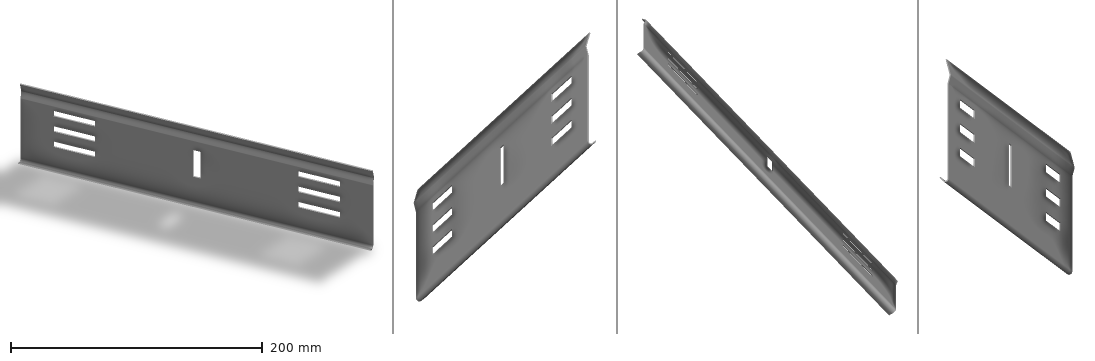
import cadquery as cq
import math

length = 293.0
depth = 9.7
height = 101.0
thickness = 1.0

ridge_height = 88.0
kink_height = 80.5
fold_radius = 1.0
lean = math.radians(15)

bend_radius = 2.5
lip_angle = math.radians(45)

slot_length = 34.5
slot_width = 7.0
slot_pitch = 20.0
slot_center_z = 51.5
slot_offset_x = 101.7
center_slot_width = 6.2
slot_count = 3

outer_fold_radius = fold_radius + thickness

ridge_y = depth + outer_fold_radius * (1 / math.cos(lean) - 1)

wall_back = ridge_y - (ridge_height - kink_height) * math.tan(lean)
top_back = ridge_y - (height - ridge_height) * math.tan(lean)
bend_center = (wall_back - bend_radius, bend_radius)
inner_radius = bend_radius - thickness

ridge_back = (ridge_y, ridge_height)
ridge_front = (ridge_y - thickness / math.cos(lean), ridge_height)
kink_back = (wall_back, kink_height)
kink_front = (
    wall_back - thickness,
    kink_height + thickness * math.tan(lean / 2),
)


def bend_point(radius, angle):
    """Point (Y, Z) on the lower bend, angle measured from +Y toward +Z."""
    return (
        bend_center[0] + radius * math.cos(angle),
        bend_center[1] + radius * math.sin(angle),
    )


def make_sheet():
    """Bent cross-section extruded over the full length, centred on X."""
    bend_end = -math.pi / 2 - lip_angle
    bend_middle = bend_end / 2
    lip_start = bend_point(bend_radius, bend_end)
    lip_tip = (0, lip_start[1] + lip_start[0] * math.tan(lip_angle))
    lip_tip_inner = (
        lip_tip[0] + thickness * math.sin(lip_angle),
        lip_tip[1] + thickness * math.cos(lip_angle),
    )
    top_front = (
        top_back - thickness * math.cos(lean),
        height - thickness * math.sin(lean),
    )
    return (
        cq.Workplane("YZ", origin=(-length / 2, 0, 0))
        .moveTo(*lip_tip)
        .lineTo(*lip_start)
        .threePointArc(bend_point(bend_radius, bend_middle), bend_point(bend_radius, 0))
        .lineTo(*kink_back)
        .lineTo(*ridge_back)
        .lineTo(top_back, height)
        .lineTo(*top_front)
        .lineTo(*ridge_front)
        .lineTo(*kink_front)
        .lineTo(*bend_point(inner_radius, 0))
        .threePointArc(bend_point(inner_radius, bend_middle), bend_point(inner_radius, bend_end))
        .lineTo(*lip_tip_inner)
        .close()
        .extrude(length)
    )


def slot_cutter(center_x, center_z, size_x, size_z):
    """Rectangular block passing through the whole depth of the panel."""
    block = cq.Workplane("XY").box(size_x, 2 * depth, size_z)
    return block.translate((center_x, depth / 2, center_z))


def edge_at(y, z):
    """Selector for the lengthwise edge passing closest to the point (Y, Z)."""
    return cq.selectors.NearestToPointSelector((0, y, z))


def round_folds(sheet):
    """Round both faces of the two shallow folds with concentric radii."""
    for points, radius in (
        ((kink_front, ridge_back), outer_fold_radius),
        ((kink_back, ridge_front), fold_radius),
    ):
        for y, z in points:
            sheet = sheet.edges("|X").edges(edge_at(y, z)).fillet(radius)
    return sheet


result = round_folds(make_sheet())

for side in (-1, 1):
    for row in range(slot_count):
        slot_z = slot_center_z + (row - (slot_count - 1) / 2) * slot_pitch
        result = result.cut(slot_cutter(side * slot_offset_x, slot_z, slot_length, slot_width))

result = result.cut(slot_cutter(0, slot_center_z, center_slot_width, slot_length))